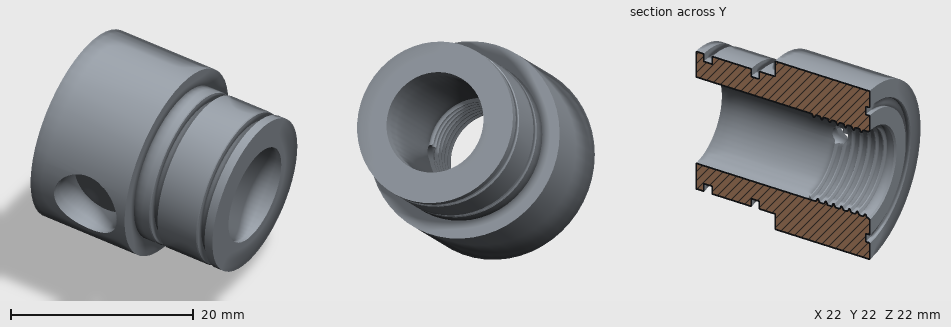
import cadquery as cq
import math

TOTAL_LENGTH = 22.0
COLLAR_LENGTH = 12.0
COLLAR_RADIUS = 11.0
SPIGOT_RADIUS = 9.0
EDGE_BREAK = 0.1

RING_GROOVE_WIDTH = 1.0
RING_GROOVE_FLOOR_RADIUS = 8.0
RING_GROOVE_STARTS = (14.0, 20.0)

SEAL_INNER_RADIUS = 7.8
SEAL_OUTER_RADIUS = 8.8
SEAL_DEPTH = 0.5

BORE_RADIUS = 5.6
BORE_ENTRY_CHAMFER = 0.2
THREAD_CREST_RADIUS = 5.2
THREAD_PITCH = 1.0
THREAD_TURNS = 7
THREAD_START = 0.58
THREAD_CREST_WIDTH = THREAD_PITCH / 8
THREAD_FLANK_ANGLE = 25.0
THREAD_ROOT_OVERLAP = 0.05

PORT_X = 7.0
PORT_Z = -0.18
PORT_RADIUS = 4.0
PORT_FLOOR_Y = -6.6
PILOT_RADIUS = 1.0


def turned(profile):
    """Revolve a closed (x, radius) outline about the X axis."""
    return cq.Workplane("XY").polyline(profile).close().revolve(360, (0, 0, 0), (1, 0, 0))


def body():
    """Collar and spigot; each ring groove has a broken edge on its collar side."""
    profile = [
        (0, 0),
        (0, COLLAR_RADIUS),
        (COLLAR_LENGTH, COLLAR_RADIUS),
        (COLLAR_LENGTH, SPIGOT_RADIUS),
    ]
    for start in RING_GROOVE_STARTS:
        end = start + RING_GROOVE_WIDTH
        profile += [
            (start - EDGE_BREAK, SPIGOT_RADIUS),
            (start, SPIGOT_RADIUS - EDGE_BREAK),
            (start, RING_GROOVE_FLOOR_RADIUS),
            (end, RING_GROOVE_FLOOR_RADIUS),
            (end, SPIGOT_RADIUS),
        ]
    profile += [(TOTAL_LENGTH, SPIGOT_RADIUS), (TOTAL_LENGTH, 0)]
    return turned(profile)


def seal_groove():
    """Annular face groove with its outer edge broken."""
    return turned([
        (0, SEAL_INNER_RADIUS),
        (0, SEAL_OUTER_RADIUS + EDGE_BREAK),
        (EDGE_BREAK, SEAL_OUTER_RADIUS),
        (SEAL_DEPTH, SEAL_OUTER_RADIUS),
        (SEAL_DEPTH, SEAL_INNER_RADIUS),
    ])


def main_bore():
    """Through bore at the thread's root radius, chamfered at the collar end."""
    return turned([
        (0, 0),
        (0, BORE_RADIUS + BORE_ENTRY_CHAMFER),
        (BORE_ENTRY_CHAMFER, BORE_RADIUS),
        (TOTAL_LENGTH, BORE_RADIUS),
        (TOTAL_LENGTH, 0),
    ])


def thread_ridge():
    """Helical ridge standing inwards from the bore wall, starting at the bottom (-Z) of the bore."""
    root_radius = BORE_RADIUS + THREAD_ROOT_OVERLAP
    half_crest = THREAD_CREST_WIDTH / 2
    flank_run = (root_radius - THREAD_CREST_RADIUS) * math.tan(math.radians(THREAD_FLANK_ANGLE))
    half_root = half_crest + flank_run
    helix = cq.Wire.makeHelix(THREAD_PITCH, THREAD_PITCH * THREAD_TURNS, BORE_RADIUS)
    ridge = (
        cq.Workplane("XZ")
        .polyline([
            (THREAD_CREST_RADIUS, -half_crest),
            (THREAD_CREST_RADIUS, half_crest),
            (root_radius, half_root),
            (root_radius, -half_root),
        ])
        .close()
        .sweep(cq.Workplane(obj=helix), isFrenet=True)
    )
    return ridge.rotate((0, 0, 0), (0, 1, 0), 90).translate((THREAD_START, 0, 0))


def side_hole(radius, floor_y):
    """Round cutter along Y from outside the collar to floor_y."""
    return (
        cq.Workplane("XZ", origin=(PORT_X, floor_y, PORT_Z))
        .circle(radius)
        .extrude(COLLAR_RADIUS + floor_y)
    )


result = (
    body()
    .cut(seal_groove())
    .cut(main_bore())
    .cut(side_hole(PORT_RADIUS, PORT_FLOOR_Y))
    .cut(side_hole(PILOT_RADIUS, 0))
    .union(thread_ridge().cut(side_hole(PILOT_RADIUS, 0)))
)